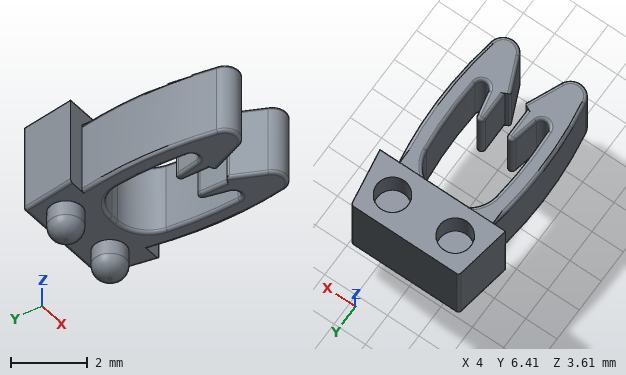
import cadquery as cq
import math

total_length = 6.41

block_front_width = 4.0
block_back_width = 3.435
block_depth = 1.705
block_height = 2.7
edge_radius = 0.095

pin_diameter = 1.0
pin_spacing = 2 * pin_diameter
pin_length = 0.905
pin_end_radius = 0.45
pin_y = block_depth / 2
pin_centers = [(-pin_spacing / 2, pin_y), (pin_spacing / 2, pin_y)]
socket_depth = pin_length

clip_height = 2.205
clip_overlap = 0.32
arm_root_x = 1.49
arm_bulge = (1.7, -2.115)
arm_end = (1.51, -4.315)
tip_bottom = (1.065, block_depth - total_length)
tip_inner = (0.66, -4.42)

barb_point = (0.22, -3.41)
barb_radius = 0.08
notch_y = -3.34

finger_inner_x = 0.365
finger_tip_radius = 0.12
finger_shoulder_y = -2.455
finger_foot = (0.76, -3.16)

mouth_bottom = (0.96, -3.315)
mouth_outer = (1.16, -3.12)
bore_bulge = (1.19, -2.02)
bore_corner_radius = 0.995
bore_flat_half = 0.13
bore_arc_end_y = -0.86

tolerance = 0.0005


def make_block():
    half_front = block_front_width / 2
    half_back = block_back_width / 2
    outline = [
        (-half_front, 0),
        (half_front, 0),
        (half_back, block_depth),
        (-half_back, block_depth),
    ]
    block = cq.Workplane("XY").polyline(outline).close().extrude(block_height)
    block = block.faces(">Y").edges("|Z").fillet(edge_radius)
    bottom_edges = block.faces("<Z").edges("not <Y")
    return bottom_edges.fillet(edge_radius)


def make_pins():
    pins = (
        cq.Workplane("XY")
        .pushPoints(pin_centers)
        .circle(pin_diameter / 2)
        .extrude(-pin_length)
    )
    return pins.faces("<Z").edges().fillet(pin_end_radius)


def make_sockets():
    return (
        cq.Workplane("XY")
        .workplane(offset=block_height - socket_depth)
        .pushPoints(pin_centers)
        .circle(pin_diameter / 2)
        .extrude(socket_depth)
    )


def make_arm():
    corner_center = (bore_flat_half, -bore_corner_radius)
    end_angle = math.asin((bore_arc_end_y + bore_corner_radius) / bore_corner_radius)
    mid_angle = (end_angle + math.pi / 2) / 2

    def on_corner(angle):
        return (
            corner_center[0] + bore_corner_radius * math.cos(angle),
            corner_center[1] + bore_corner_radius * math.sin(angle),
        )

    finger_center_x = finger_inner_x + finger_tip_radius
    finger_tip = (finger_center_x, finger_shoulder_y + finger_tip_radius)
    finger_outer = (finger_center_x + finger_tip_radius, finger_shoulder_y)
    return (
        cq.Workplane("XY")
        .moveTo(0, clip_overlap)
        .lineTo(arm_root_x, clip_overlap)
        .lineTo(arm_root_x, 0)
        .threePointArc(arm_bulge, arm_end)
        .threePointArc(tip_bottom, tip_inner)
        .lineTo(*barb_point)
        .lineTo(finger_inner_x, notch_y)
        .lineTo(finger_inner_x, finger_shoulder_y)
        .threePointArc(finger_tip, finger_outer)
        .lineTo(*finger_foot)
        .threePointArc(mouth_bottom, mouth_outer)
        .threePointArc(bore_bulge, on_corner(end_angle))
        .threePointArc(on_corner(mid_angle), (bore_flat_half, 0))
        .lineTo(0, 0)
        .close()
        .extrude(clip_height)
    )


def is_arm_rim(edge):
    """Rim edges in front of the block are rounded, except on the barb's back."""
    center = edge.Center()
    on_barb_back = (
        abs(center.x) < finger_inner_x - tolerance
        and min(barb_point[1], notch_y) < center.y < max(barb_point[1], notch_y)
    )
    return center.y < -tolerance and not on_barb_back


def is_bore_end(edge):
    """The short straight stretch where the bore touches the block's front face."""
    center = edge.Center()
    return abs(center.x) < bore_flat_half and abs(center.y) < tolerance


def round_rim(body, face_selector):
    rim_edges = body.faces(face_selector).edges().vals()
    rounded_edges = [edge for edge in rim_edges if is_arm_rim(edge) or is_bore_end(edge)]
    return body.newObject(rounded_edges).fillet(edge_radius)


def blunt_barbs(body):
    barb_box = cq.selectors.BoxSelector(
        (-barb_point[0] - tolerance, barb_point[1] - tolerance, 0),
        (barb_point[0] + tolerance, barb_point[1] + tolerance, clip_height),
    )
    return body.edges("|Z").edges(barb_box).fillet(barb_radius)


def make_body():
    """Join the clip and block; the lower rim rounding runs into the block's underside."""
    arm = make_arm()
    block = make_block()
    sharp_clip = arm.union(arm.mirror("YZ")).clean()
    top_rounded = round_rim(sharp_clip, ">Z")
    rim_rounded = round_rim(block.union(top_rounded), "<Z")
    blunt_outline = block.union(blunt_barbs(sharp_clip))
    return rim_rounded.intersect(blunt_outline)


body = make_body().union(make_pins())
result = body.cut(make_sockets())